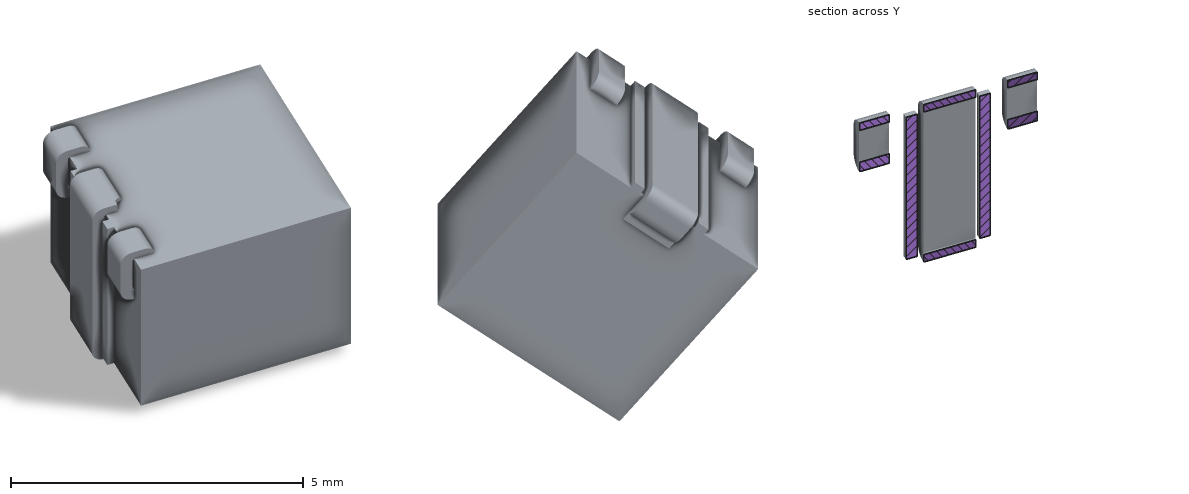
import cadquery as cq
import math


housing_side = 3.9
housing_height = 3.18
housing_front = 4.16 - housing_side
rail_width = 0.21
rail_depth = 0.125
rail_offset = 0.685

hook_thickness = 0.17
leg_gap = 0.037
leg_back = housing_front - leg_gap
outer_bend_radius = 0.215
inner_bend_radius = 0.035
hook_reach = 0.632
hook_flat_end = hook_reach - hook_thickness
hook_top = housing_height + hook_thickness

side_width = 0.56
side_offset = 1.385
foot_top = housing_height - 0.705
foot_bottom = housing_height - 0.925
foot_radius = 0.245

centre_width = 0.975
centre_offset = -0.025
tail_reach = 0.815
tail_thickness = 0.065
tail_length = 0.145
hook_bottom = -hook_thickness

cut_back_width = 0.23
cut_front_width = 0.1

diagonal = math.sqrt(0.5)


def make_housing():
    """Plain block with full-height rails on its front face."""
    block = cq.Workplane("XY").box(
        housing_side, housing_side, housing_height, centered=(True, False, False)
    ).translate((0, housing_front, 0))
    for rail_x in (-rail_offset, rail_offset):
        rail = cq.Workplane("XY").box(
            rail_width, rail_depth, housing_height, centered=(True, False, False)
        ).translate((rail_x, housing_front - rail_depth, 0))
        block = block.union(rail)
    return block


def start_top_hook():
    """Outline in the YZ plane from the leg's back, over the top hook, to the leg's front."""
    inner_centre_y = leg_back + inner_bend_radius
    inner_centre_z = housing_height - inner_bend_radius
    outer_centre_z = hook_top - outer_bend_radius
    return (
        cq.Workplane("YZ")
        .moveTo(leg_back, inner_centre_z)
        .threePointArc(
            (inner_centre_y - inner_bend_radius * diagonal, inner_centre_z + inner_bend_radius * diagonal),
            (inner_centre_y, housing_height),
        )
        .lineTo(hook_reach, housing_height)
        .threePointArc(
            (hook_flat_end + hook_thickness * diagonal, housing_height + hook_thickness * diagonal),
            (hook_flat_end, hook_top),
        )
        .lineTo(outer_bend_radius, hook_top)
        .threePointArc(
            (outer_bend_radius * (1 - diagonal), outer_centre_z + outer_bend_radius * diagonal),
            (0, outer_centre_z),
        )
    )


def make_side_terminal(centre_x):
    """Short hooked terminal with a rounded foot."""
    foot_centre_z = foot_bottom + foot_radius
    outline = (
        start_top_hook()
        .lineTo(0, foot_centre_z)
        .threePointArc(
            (foot_radius * (1 - diagonal), foot_centre_z - foot_radius * diagonal),
            (foot_radius, foot_bottom),
        )
        .lineTo(housing_front, foot_bottom)
        .lineTo(housing_front, foot_top)
        .lineTo(leg_back, foot_top)
        .close()
    )
    return outline.extrude(side_width / 2, both=True).translate((centre_x, 0, 0))


def make_centre_terminal():
    """Full-height terminal with a corner cut on top and a thin tail below."""
    bottom_bend_z = hook_bottom + outer_bend_radius
    tail_start = tail_reach - tail_length
    rise = hook_thickness - tail_thickness
    run = tail_start - hook_flat_end
    tail_radius = (run**2 + rise**2) / (2 * rise)
    half_angle = math.atan2(run, tail_radius - rise) / 2
    tail_arc_middle = (
        hook_flat_end + tail_radius * math.sin(half_angle),
        hook_bottom + tail_radius * (1 - math.cos(half_angle)),
    )
    outline = (
        start_top_hook()
        .lineTo(0, bottom_bend_z)
        .threePointArc(
            (outer_bend_radius * (1 - diagonal), bottom_bend_z - outer_bend_radius * diagonal),
            (outer_bend_radius, hook_bottom),
        )
        .lineTo(hook_flat_end, hook_bottom)
        .threePointArc(tail_arc_middle, (tail_start, -tail_thickness))
        .lineTo(tail_reach, -tail_thickness)
        .lineTo(tail_reach, 0)
        .lineTo(leg_back + inner_bend_radius, 0)
        .threePointArc(
            (leg_back + inner_bend_radius * (1 - diagonal), inner_bend_radius * (1 - diagonal)),
            (leg_back, inner_bend_radius),
        )
        .close()
    )
    terminal = outline.extrude(centre_width / 2, both=True)

    end_x = centre_width / 2
    corner_cut = (
        cq.Workplane("XY")
        .workplane(offset=housing_height)
        .moveTo(end_x - cut_back_width, hook_reach)
        .lineTo(end_x - cut_front_width, hook_flat_end)
        .lineTo(end_x, hook_flat_end)
        .lineTo(end_x, hook_reach)
        .close()
        .extrude(hook_thickness)
    )
    return terminal.cut(corner_cut).translate((centre_offset, 0, 0))


housing = make_housing()
side_terminals = [make_side_terminal(x) for x in (-side_offset, side_offset)]
centre_terminal = make_centre_terminal()

result = cq.Compound.makeCompound(
    [housing.val(), centre_terminal.val(), *[terminal.val() for terminal in side_terminals]]
)